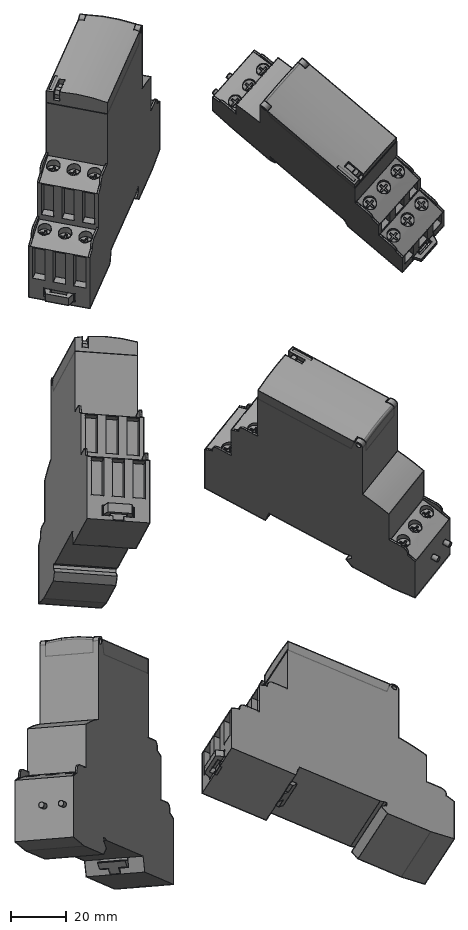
import cadquery as cq
import math


WIDTH = 22.9
HALF_WIDTH = WIDTH / 2
TOTAL_HEIGHT = 79.5
TIER_STEP = 11.25
TOWER_HALF = 22.55
MID_HALF = TOWER_HALF + TIER_STEP
BASE_HALF = MID_HALF + TIER_STEP

TIER_RISE = 20.75
LOWER_EDGE_Z = 24.0
UPPER_EDGE_Z = LOWER_EDGE_Z + TIER_RISE
ROOF_RISE = 3.7
ROOF_BULGE = 0.3
WALL = 0.7
CHEEK_HEIGHT = 4.95
CHEEK_FLAT = 5.5
CHEEK_ROUND = 2.5
CHEEK_FOOT_RISE = 1.6

POLE_PITCH = 7.65
POLES = (-POLE_PITCH, 0.0, POLE_PITCH)
SCREW_INSET = 7.5
SCREW_DIAMETER = 4.8
SCREW_HEAD_ABOVE_EDGE = 0.8
CROSS_LENGTH = 3.3
CROSS_WIDTH = 0.7
CROSS_DEPTH = 0.6
ENTRY_WIDTH = 4.55
ENTRY_HEIGHT = 14.3
ENTRY_DEPTH = 3.1
ENTRY_TOP_GAP = 0.4

RAIL_CEILING = 5.55
RAIL_BACK_Y = 15.0
RAIL_FRONT_Y = -17.6
RAIL_MOUTH_Y = -19.1
HOOK_ROOT_Y = 18.0
HOOK_TIP_Y = 15.4
HOOK_TIP_Z = 2.6
HOOK_THROAT_Y = 17.7
HOOK_THROAT_Z = 4.8
HOOK_TOP_Y = 16.6
HOOK_TOP_Z = 6.15
BASE_CHAMFER_Y = 35.5
BASE_CHAMFER_Z = 1.6

COVER_BOTTOM_Z = 73.0
COVER_EDGE_Z = 78.25
COVER_SETBACK = 0.25
COVER_BACK_ROUND = 0.95
HINGE_Y = 20.7
HINGE_Z = 77.2
HINGE_RADIUS = TOWER_HALF - HINGE_Y
HINGE_HOLE = 2.0
EAR_WIDTH = 2.2
EAR_SLANT = 15
COVER_SLANT_Y = 17.7

SLOT_X = -7.6
SLOT_WIDTH = 2.2
SLOT_BACK_Y = -15.2
SLOT_BOTTOM_Z = 74.8
LATCH_BACK_Y = -18.6
LATCH_RIDGE_Y = -20.4
LATCH_FRONT_Y = -21.2
LATCH_LOW_Z = 76.6
LATCH_TOP_Z = 78.0

PAD_OUTER_X = -10.75
PAD_INNER_X = -9.7
PAD_BACK_Y = -13.4
PAD_FRONT_Y = -21.4

PIN_DIAMETER = 2.1
PIN_Z = 13.75
PIN_LENGTH = 2.5

LEVER_LENGTH = 2.8
LEVER_ROOT_HALF = 5.4
LEVER_TIP_HALF = 4.3
LEVER_BOTTOM_Z = 2.05
LEVER_EYE_HALF = 3.1
LEVER_EYE_DEPTH = 1.35
LEVER_PORT_HALF = 5.9
LEVER_PORT_BOTTOM_Z = 1.75
LEVER_PORT_DEPTH = 1.0
KEYWAY_HALF = 2.0
KEYWAY_BOTTOM_Z = 0.3

CLIP_BOTTOM_Y = -18.9
CLIP_BOTTOM_Z = 0.2
CLIP_TIP_Y = -15.4
CLIP_TIP_Z = 3.9
CLIP_SHOULDER_Y = -15.7
CLIP_SHOULDER_Z = 4.35
CLIP_NECK_Y = -17.4


def box(x0, x1, y0, y1, z0, z1):
    """Axis-aligned box between two opposite corners."""
    return cq.Workplane("XY").box(x1 - x0, y1 - y0, z1 - z0, centered=False).translate((x0, y0, z0))


def side_profile(start):
    """Start an outline in the Y-Z plane."""
    return cq.Workplane("YZ").moveTo(*start)


def across(profile, half_width):
    """Extrude a closed Y-Z outline symmetrically about X = 0."""
    return profile.extrude(half_width, both=True)


def roof_middle(side, outer_half, edge_z):
    """Midpoint of the curved roof over a tier; side is +1 for +Y, -1 for -Y."""
    return (side * (outer_half - TIER_STEP / 2), edge_z + ROOF_RISE / 2 + ROOF_BULGE)


def housing():
    """Stepped block without cheeks: every tier carries a curved roof."""
    upper_roof_z = UPPER_EDGE_Z + ROOF_RISE
    lower_roof_z = LOWER_EDGE_Z + ROOF_RISE
    profile = (
        side_profile((-BASE_HALF, 0))
        .lineTo(-BASE_HALF, LOWER_EDGE_Z)
        .threePointArc(roof_middle(-1, BASE_HALF, LOWER_EDGE_Z), (-MID_HALF, lower_roof_z))
        .lineTo(-MID_HALF, UPPER_EDGE_Z)
        .threePointArc(roof_middle(-1, MID_HALF, UPPER_EDGE_Z), (-TOWER_HALF, upper_roof_z))
        .lineTo(-TOWER_HALF, COVER_BOTTOM_Z)
        .lineTo(TOWER_HALF, COVER_BOTTOM_Z)
        .lineTo(TOWER_HALF, upper_roof_z)
        .threePointArc(roof_middle(1, MID_HALF, UPPER_EDGE_Z), (MID_HALF, UPPER_EDGE_Z))
        .lineTo(MID_HALF, lower_roof_z)
        .threePointArc(roof_middle(1, BASE_HALF, LOWER_EDGE_Z), (BASE_HALF, LOWER_EDGE_Z))
        .lineTo(BASE_HALF, BASE_CHAMFER_Z)
        .lineTo(BASE_CHAMFER_Y, 0)
        .lineTo(HOOK_ROOT_Y, 0)
        .lineTo(HOOK_TIP_Y, HOOK_TIP_Z)
        .lineTo(HOOK_THROAT_Y, HOOK_THROAT_Z)
        .lineTo(HOOK_THROAT_Y, HOOK_TOP_Z)
        .lineTo(HOOK_TOP_Y, HOOK_TOP_Z)
        .lineTo(RAIL_BACK_Y, RAIL_CEILING)
        .lineTo(RAIL_FRONT_Y, RAIL_CEILING)
        .lineTo(RAIL_MOUTH_Y, 0)
        .close()
    )
    return across(profile, HALF_WIDTH)


def cheeks(side, outer_half, edge_z):
    """Pair of thin side walls rising above one terminal tier."""
    inner_y = outer_half - TIER_STEP
    top_z = edge_z + CHEEK_HEIGHT
    flat_end = inner_y + CHEEK_FLAT
    round_end = flat_end + CHEEK_ROUND
    foot_z = edge_z + CHEEK_FOOT_RISE
    diagonal = CHEEK_ROUND * math.sqrt(0.5)
    round_middle = (side * (flat_end + diagonal), top_z - CHEEK_ROUND + diagonal)
    profile = (
        side_profile((side * inner_y, edge_z))
        .lineTo(side * inner_y, top_z)
        .lineTo(side * flat_end, top_z)
        .threePointArc(round_middle, (side * round_end, top_z - CHEEK_ROUND))
        .lineTo(side * round_end, foot_z)
        .lineTo(side * outer_half, edge_z)
        .close()
    )
    plate = profile.extrude(WALL)
    return plate.translate((-HALF_WIDTH, 0, 0)).union(plate.translate((HALF_WIDTH - WALL, 0, 0)))


def screw_wells(side, outer_half, edge_z):
    """Round wells down to the screw heads, each head with a cross recess."""
    head_z = edge_z + SCREW_HEAD_ABOVE_EDGE
    screw_y = side * (outer_half - SCREW_INSET)
    heads = [(x, screw_y) for x in POLES]
    cross_plane = cq.Workplane("XY").workplane(offset=head_z - CROSS_DEPTH).pushPoints(heads)
    wells = cq.Workplane("XY").workplane(offset=head_z).pushPoints(heads).circle(SCREW_DIAMETER / 2)
    wells = wells.extrude(CHEEK_HEIGHT)
    wells = wells.union(cross_plane.rect(CROSS_LENGTH, CROSS_WIDTH).extrude(2 * CROSS_DEPTH))
    return wells.union(cross_plane.rect(CROSS_WIDTH, CROSS_LENGTH).extrude(2 * CROSS_DEPTH))


def wire_entries(outer_half, edge_z):
    """Rectangular wire pockets in the -Y face of one tier."""
    top_z = edge_z - ENTRY_TOP_GAP
    pockets = cq.Workplane("XY")
    for x in POLES:
        pockets = pockets.union(
            box(
                x - ENTRY_WIDTH / 2, x + ENTRY_WIDTH / 2,
                -outer_half, -outer_half + ENTRY_DEPTH,
                top_z - ENTRY_HEIGHT, top_z,
            )
        )
    return pockets


def lever_port():
    """Shallow port in the -Y face around the lever, with a keyway below it."""
    inner_y = -BASE_HALF + LEVER_PORT_DEPTH
    port = box(-LEVER_PORT_HALF, LEVER_PORT_HALF, -BASE_HALF, inner_y, LEVER_PORT_BOTTOM_Z, RAIL_CEILING)
    keyway = box(-KEYWAY_HALF, KEYWAY_HALF, -BASE_HALF, inner_y, KEYWAY_BOTTOM_Z, LEVER_PORT_BOTTOM_Z)
    return port.union(keyway)


def lever():
    """Tapered release lever with an eye for a screwdriver."""
    root_y = -BASE_HALF + LEVER_PORT_DEPTH
    tip_y = -BASE_HALF - LEVER_LENGTH
    body = (
        cq.Workplane("XY")
        .workplane(offset=LEVER_BOTTOM_Z)
        .polyline([
            (-LEVER_ROOT_HALF, root_y),
            (-LEVER_ROOT_HALF, -BASE_HALF),
            (-LEVER_TIP_HALF, tip_y),
            (LEVER_TIP_HALF, tip_y),
            (LEVER_ROOT_HALF, -BASE_HALF),
            (LEVER_ROOT_HALF, root_y),
        ])
        .close()
        .extrude(RAIL_CEILING - LEVER_BOTTOM_Z)
    )
    eye = box(
        -LEVER_EYE_HALF, LEVER_EYE_HALF,
        -BASE_HALF - LEVER_EYE_DEPTH, root_y,
        LEVER_BOTTOM_Z, RAIL_CEILING,
    )
    return body.cut(eye)


def rail_clip():
    """Sprung nose of the lever that reaches into the rail recess, narrowed to a tongue below."""
    profile = (
        side_profile((RAIL_MOUTH_Y, CLIP_BOTTOM_Z))
        .lineTo(CLIP_BOTTOM_Y, CLIP_BOTTOM_Z)
        .lineTo(CLIP_TIP_Y, CLIP_TIP_Z)
        .lineTo(CLIP_SHOULDER_Y, CLIP_SHOULDER_Z)
        .lineTo(CLIP_NECK_Y, CLIP_SHOULDER_Z)
        .lineTo(CLIP_NECK_Y, RAIL_CEILING)
        .lineTo(RAIL_MOUTH_Y, RAIL_CEILING)
        .close()
    )
    nose = across(profile, LEVER_ROOT_HALF)
    tongue_side = box(
        KEYWAY_HALF, LEVER_ROOT_HALF,
        RAIL_MOUTH_Y, CLIP_TIP_Y,
        CLIP_BOTTOM_Z, LEVER_BOTTOM_Z,
    )
    nose = nose.cut(tongue_side).cut(tongue_side.mirror("YZ"))
    return nose


def test_pins():
    """Two round pins on the +Y face."""
    return (
        cq.Workplane("XZ", origin=(0, BASE_HALF, 0))
        .pushPoints([(-POLE_PITCH, PIN_Z), (0, PIN_Z)])
        .circle(PIN_DIAMETER / 2)
        .extrude(-PIN_LENGTH)
    )


def hinge_ear_profile():
    """Side outline of a hinge ear: round about the pin, slanted towards the cover."""
    slant = math.radians(EAR_SLANT)
    tangent = (HINGE_Y - HINGE_RADIUS * math.cos(slant), HINGE_Z + HINGE_RADIUS * math.sin(slant))
    return (
        side_profile((COVER_SLANT_Y, COVER_BOTTOM_Z))
        .lineTo(*tangent)
        .threePointArc((HINGE_Y, HINGE_Z + HINGE_RADIUS), (TOWER_HALF, HINGE_Z))
        .lineTo(TOWER_HALF, COVER_BOTTOM_Z)
        .close()
    )


def hinge_ears():
    """Two ears on the tower that carry the cover's hinge pin."""
    ear = hinge_ear_profile().extrude(EAR_WIDTH)
    return ear.translate((-HALF_WIDTH, 0, 0)).union(ear.translate((HALF_WIDTH - EAR_WIDTH, 0, 0)))


def cover():
    """Crowned cover with its latch slot, grip pad and rounded back edge."""
    front_y = -TOWER_HALF + COVER_SETBACK
    shell = (
        cq.Workplane("XZ", origin=(0, TOWER_HALF, 0))
        .moveTo(-HALF_WIDTH, COVER_BOTTOM_Z)
        .lineTo(-HALF_WIDTH, COVER_EDGE_Z)
        .threePointArc((0, TOTAL_HEIGHT), (HALF_WIDTH, COVER_EDGE_Z))
        .lineTo(HALF_WIDTH, COVER_BOTTOM_Z)
        .close()
        .extrude(TOWER_HALF - front_y)
    )
    shell = shell.faces(">Y").edges(">Z").fillet(COVER_BACK_ROUND)
    ear_space_y = HINGE_Y - HINGE_RADIUS
    ear_gap = box(-HALF_WIDTH, -HALF_WIDTH + EAR_WIDTH, ear_space_y, TOWER_HALF, HINGE_Z, TOTAL_HEIGHT)
    ear_gap = ear_gap.union(ear_gap.mirror("YZ"))
    return shell.union(grip_pad()).cut(ear_gap).cut(hinge_ears()).cut(latch_slot(front_y))


def crown_z(x):
    """Height of the cover's crowned top at a given x."""
    sagitta = TOTAL_HEIGHT - COVER_EDGE_Z
    radius = (HALF_WIDTH ** 2 + sagitta ** 2) / (2 * sagitta)
    return TOTAL_HEIGHT - radius + math.sqrt(radius ** 2 - x ** 2)


def grip_pad():
    """Slim pad near the -X edge: it leaves the crown tangentially and levels out at its outer edge."""
    inner_z = crown_z(PAD_INNER_X)
    outer_z = (crown_z(PAD_OUTER_X) + inner_z) / 2
    arc_middle = ((PAD_OUTER_X + PAD_INNER_X) / 2, inner_z - 0.75 * (inner_z - outer_z))
    return (
        cq.Workplane("XZ", origin=(0, PAD_BACK_Y, 0))
        .moveTo(PAD_OUTER_X, COVER_BOTTOM_Z)
        .lineTo(PAD_OUTER_X, outer_z)
        .threePointArc(arc_middle, (PAD_INNER_X, inner_z))
        .lineTo(PAD_INNER_X, COVER_BOTTOM_Z)
        .close()
        .extrude(PAD_BACK_Y - PAD_FRONT_Y)
    )


def latch_slot(front_y):
    """Slot open to the top and front of the cover, leaving the sloped latch inside."""
    profile = (
        side_profile((front_y, SLOT_BOTTOM_Z))
        .lineTo(LATCH_FRONT_Y, SLOT_BOTTOM_Z)
        .lineTo(LATCH_FRONT_Y, LATCH_LOW_Z)
        .lineTo(LATCH_RIDGE_Y, LATCH_TOP_Z)
        .lineTo(LATCH_BACK_Y, LATCH_TOP_Z)
        .lineTo(LATCH_BACK_Y, LATCH_LOW_Z)
        .lineTo(SLOT_BACK_Y, LATCH_LOW_Z)
        .lineTo(SLOT_BACK_Y, TOTAL_HEIGHT)
        .lineTo(front_y, TOTAL_HEIGHT)
        .close()
    )
    return across(profile, SLOT_WIDTH / 2).translate((SLOT_X, 0, 0))


def hinge_bore():
    """Through bore for the hinge pin."""
    return across(cq.Workplane("YZ").center(HINGE_Y, HINGE_Z).circle(HINGE_HOLE / 2), HALF_WIDTH)


FRONT_TIERS = ((-1, MID_HALF, UPPER_EDGE_Z), (-1, BASE_HALF, LOWER_EDGE_Z))
SCREW_TIERS = FRONT_TIERS + ((1, BASE_HALF, LOWER_EDGE_Z),)

body = housing()
for tier in SCREW_TIERS:
    body = body.union(cheeks(*tier)).cut(screw_wells(*tier))
for _, tier_half, tier_edge_z in FRONT_TIERS:
    body = body.cut(wire_entries(tier_half, tier_edge_z))
body = body.cut(lever_port()).union(lever()).union(rail_clip()).union(test_pins())
body = body.union(hinge_ears())

result = body.union(cover(), clean=False).cut(hinge_bore(), clean=False)